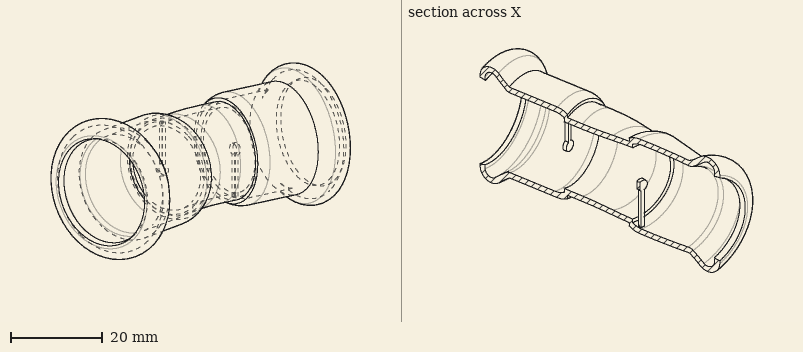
import cadquery as cq
import math

bend_angle = 15.0
bend_radius = 34.45
neck_outer_radius = 11.0
neck_bore_radius = 9.5
wall = neck_outer_radius - neck_bore_radius
leg_length = 27.75

socket_length = 23.7
socket_outer_radius = 12.65
socket_bore_radius = 11.1
stop_depth = 22.75
stop_blend_length = 2.35
stop_blend_drop = 0.7
shoulder_length = 2.7
shoulder_end_radius = 11.8

bead_radius = 3.1
bead_center_radius = 12.7
mouth_radius = 12.05
lip_throat_radius = 11.7
cone_angle = math.radians(40)
groove_blend_radius = 1.55

marker_depth = 20.7
marker_thickness = 0.95
disc_radius = 1.35
arm_width = 0.95
arm_reach = 11.0


def bead_point(radius, angle):
    """Point (radial, axial) on an arc about the bead center."""
    return (
        bead_center_radius + radius * math.cos(angle),
        bead_radius + radius * math.sin(angle),
    )


def cone_end(start, end_radius):
    """Point where the flank tangent to the bead reaches a cylinder."""
    radial, axial = start
    return (end_radius, axial + (radial - end_radius) / math.tan(cone_angle))


def revolve_profile(profile):
    """Revolve a closed radial/axial profile around the Y axis."""
    return profile.close().revolve(360, (0, 0, 0), (0, 1, 0))


def socket_body():
    bead_end = bead_point(bead_radius, cone_angle)
    shoulder_drop = socket_outer_radius - shoulder_end_radius
    shoulder_radius = (shoulder_length**2 + shoulder_drop**2) / (2 * shoulder_drop)
    half_angle = math.asin(shoulder_length / shoulder_radius) / 2
    shoulder_start = socket_length - shoulder_length
    shoulder_middle = (
        socket_outer_radius - shoulder_radius * (1 - math.cos(half_angle)),
        shoulder_start + shoulder_radius * math.sin(half_angle),
    )
    return revolve_profile(
        cq.Workplane("XY")
        .lineTo(bead_center_radius, 0)
        .threePointArc(bead_point(bead_radius, 0), bead_end)
        .lineTo(*cone_end(bead_end, socket_outer_radius))
        .lineTo(socket_outer_radius, shoulder_start)
        .threePointArc(shoulder_middle, (shoulder_end_radius, socket_length))
        .lineTo(neck_outer_radius, socket_length)
        .lineTo(neck_outer_radius, leg_length)
        .lineTo(0, leg_length)
    )


def socket_cavity():
    groove_radius = bead_radius - wall
    groove_start = bead_point(groove_radius, -math.pi / 2)
    groove_end = bead_point(groove_radius, cone_angle)
    corner = cone_end(groove_end, socket_bore_radius)
    blend_tangent = groove_blend_radius * math.tan((math.pi / 2 - cone_angle) / 2)
    blend_start = (
        corner[0] + blend_tangent * math.sin(cone_angle),
        corner[1] - blend_tangent * math.cos(cone_angle),
    )
    blend_end = (socket_bore_radius, corner[1] + blend_tangent)
    return revolve_profile(
        cq.Workplane("XY")
        .lineTo(mouth_radius, 0)
        .lineTo(lip_throat_radius, wall)
        .lineTo(*groove_start)
        .threePointArc(bead_point(groove_radius, 0), groove_end)
        .lineTo(*blend_start)
        .tangentArcPoint(blend_end, relative=False)
        .lineTo(socket_bore_radius, stop_depth - stop_blend_length)
        .tangentArcPoint((socket_bore_radius - stop_blend_drop, stop_depth), relative=False)
        .lineTo(neck_bore_radius, stop_depth)
        .lineTo(neck_bore_radius, leg_length)
        .lineTo(0, leg_length)
    )


def marker():
    """Disc on the socket axis, held by an arm that points to +Z."""
    disc = (
        cq.Workplane("XZ", origin=(0, marker_depth, 0))
        .circle(disc_radius)
        .extrude(-marker_thickness)
    )
    arm = cq.Workplane("XY").box(
        arm_width, marker_thickness, arm_reach, centered=(True, False, False)
    )
    return disc.union(arm.translate((0, marker_depth, 0)))


def socket():
    return socket_body().cut(socket_cavity()).union(marker())


def bent_neck():
    return (
        cq.Workplane("XZ", origin=(0, leg_length, 0))
        .circle(neck_outer_radius)
        .circle(neck_bore_radius)
        .revolve(bend_angle, (bend_radius, 0, 0), (bend_radius, -1, 0))
    )


def far_socket():
    """Socket turned end for end, its arm toward -Z, then swung around the bend center."""
    turned = socket().rotate((0, leg_length, 0), (1, leg_length, 0), 180)
    bend_center = (bend_radius, leg_length, 0)
    return turned.rotate(bend_center, (bend_radius, leg_length, 1), -bend_angle)


result = socket().union(bent_neck()).union(far_socket())